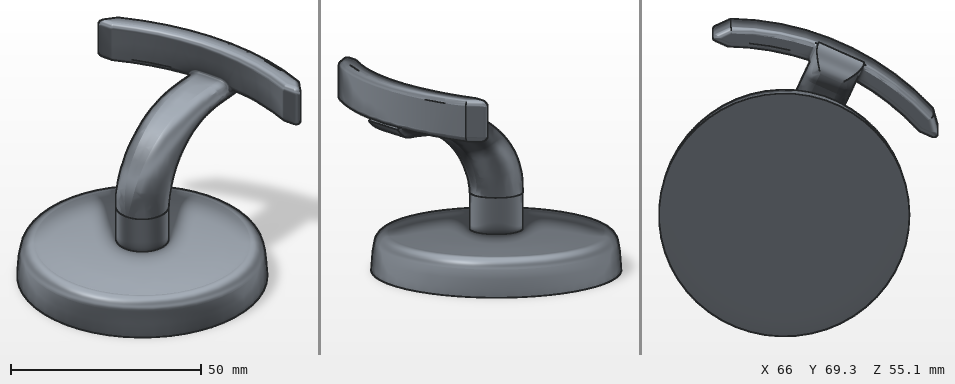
import cadquery as cq
import math

BASE_RADIUS = 33.0
BASE_HEIGHT = 11.15
WALL_MIDDLE_RADIUS = 32.8
WALL_TOP_RADIUS = 32.15
WALL_TOP_Z = 7.4
SHOULDER_RADIUS = 28.4
SHOULDER_Z = 10.25
SHOULDER_BULGE_RADIUS = 31.2
SHOULDER_BULGE_Z = 9.3
DOME_MIDDLE_RADIUS = 19.4
DOME_MIDDLE_Z = 10.9
FLAT_RADIUS = 10.0

STEM_RADIUS = 7.0
STEM_TOP_Z = 21.0

ARM_TOP_Z = 46.0
ARM_THICKNESS = 5.7
ARM_END_HALF_WIDTH = 6.65
ARM_END_FLAT_HALF = 3.05
ARM_START_FLAT_HALF = 0.2
OUTER_BEND_LENGTH = 29.1
BEND_STEPS = 5
LAST_INNER_ANGLE = 75.0
TIP_ARC_RADIUS = 8.5

PLATE_TOP_Z = 55.1
PLATE_HEIGHT = 11.3
PLATE_BACK_Y = 36.3
PLATE_THICKNESS = 5.55
PLATE_BACK_CORNER = (29.25, 30.2)
PLATE_TIP = (33.7, 24.95)
PLATE_FRONT_CORNER_X = 27.65
PLATE_ROUND = 1.5
PLATE_END_ROUND = 1.05
PLATE_FRONT_CORNER_ROUND = 1.4
JOINT_ROUND = 0.7
JOINT_SEARCH = 0.35

ARM_BOTTOM_Z = ARM_TOP_Z - ARM_THICKNESS
INNER_BEND_RADIUS = ARM_BOTTOM_Z - STEM_TOP_Z
OUTER_BEND_HEIGHT = ARM_TOP_Z - STEM_TOP_Z
OUTER_BEND_Y = OUTER_BEND_LENGTH - STEM_RADIUS
BEND_END_Y = STEM_RADIUS + INNER_BEND_RADIUS
PLATE_BOTTOM_Z = PLATE_TOP_Z - PLATE_HEIGHT
PLATE_FRONT_Y = PLATE_BACK_Y - PLATE_THICKNESS


def make_base():
    return (
        cq.Workplane("XZ")
        .lineTo(BASE_RADIUS, 0)
        .threePointArc((WALL_MIDDLE_RADIUS, WALL_TOP_Z / 2), (WALL_TOP_RADIUS, WALL_TOP_Z))
        .threePointArc((SHOULDER_BULGE_RADIUS, SHOULDER_BULGE_Z), (SHOULDER_RADIUS, SHOULDER_Z))
        .threePointArc((DOME_MIDDLE_RADIUS, DOME_MIDDLE_Z), (FLAT_RADIUS, BASE_HEIGHT))
        .lineTo(0, BASE_HEIGHT)
        .close()
        .revolve(360, (0, 0), (0, 1))
    )


def make_stem():
    return cq.Workplane("XY").circle(STEM_RADIUS).extrude(STEM_TOP_Z)


def arm_section(outer, inner, progress):
    """Flat-topped oval wire spanning two (y, z) points; progress runs from 0 at the stem to 1."""
    half_width = STEM_RADIUS + (ARM_END_HALF_WIDTH - STEM_RADIUS) * progress
    flat = ARM_START_FLAT_HALF + (ARM_END_FLAT_HALF - ARM_START_FLAT_HALF) * math.sqrt(progress)
    dy = outer[0] - inner[0]
    dz = outer[1] - inner[1]
    half_height = math.hypot(dy, dz) / 2
    centre = (0, (outer[0] + inner[0]) / 2, (outer[1] + inner[1]) / 2)
    plane = cq.Plane(origin=centre, xDir=(1, 0, 0), normal=(0, -dz, dy))
    corner_width = half_width - flat
    return (
        cq.Workplane(plane)
        .moveTo(-flat, -half_height)
        .lineTo(flat, -half_height)
        .ellipseArc(corner_width, half_height, -90, 90)
        .lineTo(-flat, half_height)
        .ellipseArc(corner_width, half_height, 90, 270)
        .close()
        .val()
    )


def make_bend():
    sections = []
    for step in range(BEND_STEPS + 1):
        fraction = step / BEND_STEPS
        outer_angle = math.radians(90 * fraction)
        inner_angle = math.radians(LAST_INNER_ANGLE * fraction)
        outer = (
            OUTER_BEND_Y - OUTER_BEND_LENGTH * math.cos(outer_angle),
            STEM_TOP_Z + OUTER_BEND_HEIGHT * math.sin(outer_angle),
        )
        inner = (
            BEND_END_Y - INNER_BEND_RADIUS * math.cos(inner_angle),
            STEM_TOP_Z + INNER_BEND_RADIUS * math.sin(inner_angle),
        )
        sections.append(arm_section(outer, inner, fraction))
    sections.append(arm_section((BEND_END_Y, ARM_TOP_Z), (BEND_END_Y, ARM_BOTTOM_Z), 1))
    return cq.Workplane(cq.Solid.makeLoft(sections))


def plate_outline():
    corner_x, corner_y = PLATE_BACK_CORNER
    tip_x, tip_y = PLATE_TIP
    return (
        cq.Workplane("XY")
        .moveTo(-corner_x, corner_y)
        .threePointArc((0, PLATE_BACK_Y), (corner_x, corner_y))
        .lineTo(tip_x, tip_y)
        .lineTo(PLATE_FRONT_CORNER_X, tip_y)
        .threePointArc((0, PLATE_FRONT_Y), (-PLATE_FRONT_CORNER_X, tip_y))
        .lineTo(-tip_x, tip_y)
        .close()
    )


def make_plate():
    plate = plate_outline().extrude(PLATE_HEIGHT).translate((0, 0, PLATE_BOTTOM_Z))
    plate = plate.edges("|Z").edges("<X or >X").fillet(PLATE_END_ROUND)
    middle_z = PLATE_BOTTOM_Z + PLATE_HEIGHT / 2
    left_corner, right_corner = [
        cq.selectors.NearestToPointSelector((side * PLATE_FRONT_CORNER_X, PLATE_TIP[1], middle_z))
        for side in (-1, 1)
    ]
    plate = plate.edges(left_corner + right_corner).fillet(PLATE_FRONT_CORNER_ROUND)
    return plate.faces("<Z or >Z").edges().fillet(PLATE_ROUND)


def make_arm_end():
    """Straight end of the arm, its underside curving up to the back of the plate."""
    section = arm_section((BEND_END_Y, ARM_TOP_Z), (BEND_END_Y, ARM_BOTTOM_Z), 1)
    run = PLATE_BACK_Y - BEND_END_Y
    straight_bar = cq.Workplane(cq.Solid.extrudeLinear(section, [], cq.Vector(0, run, 0)))
    rise = PLATE_BOTTOM_Z - ARM_BOTTOM_Z
    arc_run = math.sqrt(TIP_ARC_RADIUS**2 - (TIP_ARC_RADIUS - rise) ** 2)
    arc_start_y = PLATE_BACK_Y - arc_run
    half_angle = math.atan2(arc_run, TIP_ARC_RADIUS - rise) / 2
    arc_middle = (
        arc_start_y + TIP_ARC_RADIUS * math.sin(half_angle),
        ARM_BOTTOM_Z + TIP_ARC_RADIUS * (1 - math.cos(half_angle)),
    )
    side_profile = (
        cq.Workplane("YZ")
        .moveTo(BEND_END_Y, ARM_BOTTOM_Z)
        .lineTo(arc_start_y, ARM_BOTTOM_Z)
        .threePointArc(arc_middle, (PLATE_BACK_Y, PLATE_BOTTOM_Z))
        .lineTo(PLATE_BACK_Y - PLATE_THICKNESS / 2, ARM_TOP_Z)
        .lineTo(BEND_END_Y, ARM_TOP_Z)
        .close()
        .extrude(STEM_RADIUS, both=True)
    )
    return straight_bar.intersect(side_profile)


def round_joint(arm_and_plate):
    """Fillet where the flat top of the arm meets the front of the plate, and the edges tangent to it."""
    joint_edge = cq.selectors.BoxSelector(
        (-ARM_END_FLAT_HALF, PLATE_FRONT_Y - JOINT_SEARCH, ARM_TOP_Z - JOINT_SEARCH),
        (ARM_END_FLAT_HALF, PLATE_FRONT_Y + JOINT_SEARCH, ARM_TOP_Z + JOINT_SEARCH),
    )
    return arm_and_plate.edges(joint_edge).fillet(JOINT_ROUND)


arm = make_bend().union(make_arm_end())
result = make_base().union(make_stem()).union(round_joint(arm.union(make_plate())))